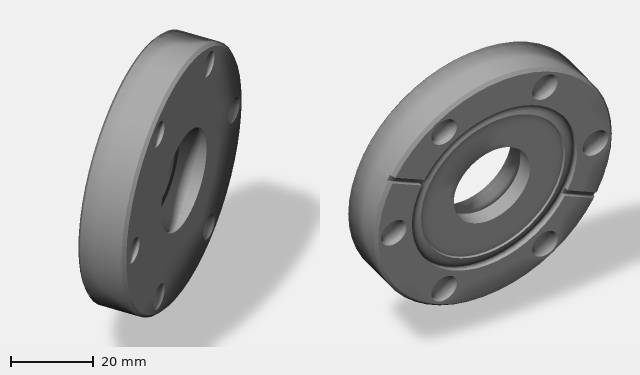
import cadquery as cq

flange_diameter = 69.35
flange_radius = flange_diameter / 2
thickness = 12.7
edge_chamfer = 0.8
front_x = -thickness / 2
back_x = thickness / 2

bore_radius = 11.1
socket_radius = 13.3
socket_start_x = front_x + 5.4

recess_radius = 24.05
recess_depth = 1.8
knife_radius = 20.95
knife_depth = 0.7
knife_inner_radius = 20.7
floor_depth = 1.2

bolt_count = 6
bolt_circle_radius = 29.3
bolt_radius = 3.3
bolt_mouth_radius = 3.75
bolt_mouth_depth = 2.65

groove_width = 1.6
groove_depth = 1.25
groove_angle = 30.0
groove_overlap = 0.2


def make_body():
    """Revolve the half section: radius across, axial position X along."""
    section = [
        (front_x + floor_depth, bore_radius),
        (front_x + floor_depth, knife_inner_radius),
        (front_x + knife_depth, knife_radius),
        (front_x + recess_depth, recess_radius),
        (front_x, recess_radius),
        (front_x, flange_radius - edge_chamfer),
        (front_x + edge_chamfer, flange_radius),
        (back_x - edge_chamfer, flange_radius),
        (back_x, flange_radius - edge_chamfer),
        (back_x, socket_radius),
        (socket_start_x, socket_radius),
        (socket_start_x, bore_radius),
    ]
    profile = cq.Workplane("XY").polyline(section).close()
    return profile.revolve(360, (0, 0, 0), (1, 0, 0))


def make_bolt_holes():
    """Through holes with a tapered mouth, evenly spaced and starting on the Y axis."""
    section = [
        (front_x, 0),
        (front_x, bolt_mouth_radius),
        (front_x + bolt_mouth_depth, bolt_radius),
        (back_x, bolt_radius),
        (back_x, 0),
    ]
    hole = cq.Workplane("XY").polyline(section).close().revolve(360, (0, 0, 0), (1, 0, 0))
    hole = hole.translate((0, bolt_circle_radius, 0))
    holes = cq.Workplane("XY")
    for index in range(bolt_count):
        holes = holes.add(hole.rotate((0, 0, 0), (1, 0, 0), index * 360 / bolt_count))
    return holes.combine()


def make_grooves():
    """Two opposite radial grooves running from the seal recess out past the rim."""
    groove_start = recess_radius - groove_overlap
    length = flange_radius - groove_start
    grooves = cq.Workplane("XY")
    for angle in (groove_angle, groove_angle + 180):
        groove = (
            cq.Workplane("XY")
            .box(groove_depth, length, groove_width, centered=(False, False, True))
            .translate((front_x, groove_start, 0))
            .rotate((0, 0, 0), (1, 0, 0), angle)
        )
        grooves = grooves.add(groove)
    return grooves.combine()


result = make_body().cut(make_bolt_holes()).cut(make_grooves())